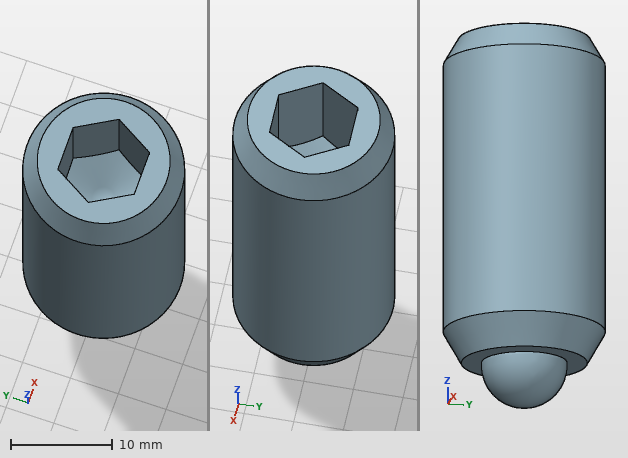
import cadquery as cq
import math

total_length = 37.5
body_diameter = 16.0
plunger_protrusion = 4.5
body_radius = body_diameter / 2

top_chamfer_height = 2.5
top_face_radius = 6.55
bottom_chamfer_height = 3.15
bottom_face_radius = 6.22

socket_across_flats = 8.0
socket_depth = 9
socket_floor_angle = 30
socket_across_corners = socket_across_flats / math.cos(math.radians(30))
socket_corner_radius = socket_across_corners / 2
socket_floor_depth = socket_corner_radius * math.tan(math.radians(socket_floor_angle))

plunger_radius = 4.25
plunger_insertion = 4.5


def make_plunger():
    """Cylinder with a hemispherical nose pointing down."""
    top_z = plunger_protrusion + plunger_insertion
    nose_side = plunger_radius * math.sqrt(0.5)
    return (
        cq.Workplane("XZ")
        .lineTo(0, top_z)
        .lineTo(plunger_radius, top_z)
        .lineTo(plunger_radius, plunger_radius)
        .threePointArc((nose_side, plunger_radius - nose_side), (0, 0))
        .close()
        .revolve(360, (0, 0, 0), (0, 1, 0))
    )


def make_blank():
    """Round bar with a conical chamfer at each end."""
    bottom_z = plunger_protrusion
    return (
        cq.Workplane("XZ")
        .moveTo(0, bottom_z)
        .lineTo(bottom_face_radius, bottom_z)
        .lineTo(body_radius, bottom_z + bottom_chamfer_height)
        .lineTo(body_radius, total_length - top_chamfer_height)
        .lineTo(top_face_radius, total_length)
        .lineTo(0, total_length)
        .close()
        .revolve(360, (0, 0, 0), (0, 1, 0))
    )


def make_socket():
    """Hexagonal prism, corners on the X axis, cut to a cone at its lower end."""
    cone_base_z = total_length - socket_depth
    cone_tip_z = cone_base_z - socket_floor_depth
    hexagon = (
        cq.Workplane("XY", origin=(0, 0, cone_tip_z))
        .polygon(6, socket_across_corners)
        .extrude(total_length - cone_tip_z)
    )
    envelope = (
        cq.Workplane("XZ")
        .moveTo(0, cone_tip_z)
        .lineTo(socket_corner_radius, cone_base_z)
        .lineTo(socket_corner_radius, total_length)
        .lineTo(0, total_length)
        .close()
        .revolve(360, (0, 0, 0), (0, 1, 0))
    )
    return hexagon.intersect(envelope)


def make_plunger_bore():
    """Blind bore that fits the inserted length of the plunger."""
    return (
        cq.Workplane("XY", origin=(0, 0, plunger_protrusion))
        .circle(plunger_radius)
        .extrude(plunger_insertion)
    )


body = make_blank().cut(make_socket()).cut(make_plunger_bore())
plunger = make_plunger()

result = cq.Compound.makeCompound([body.val(), plunger.val()])